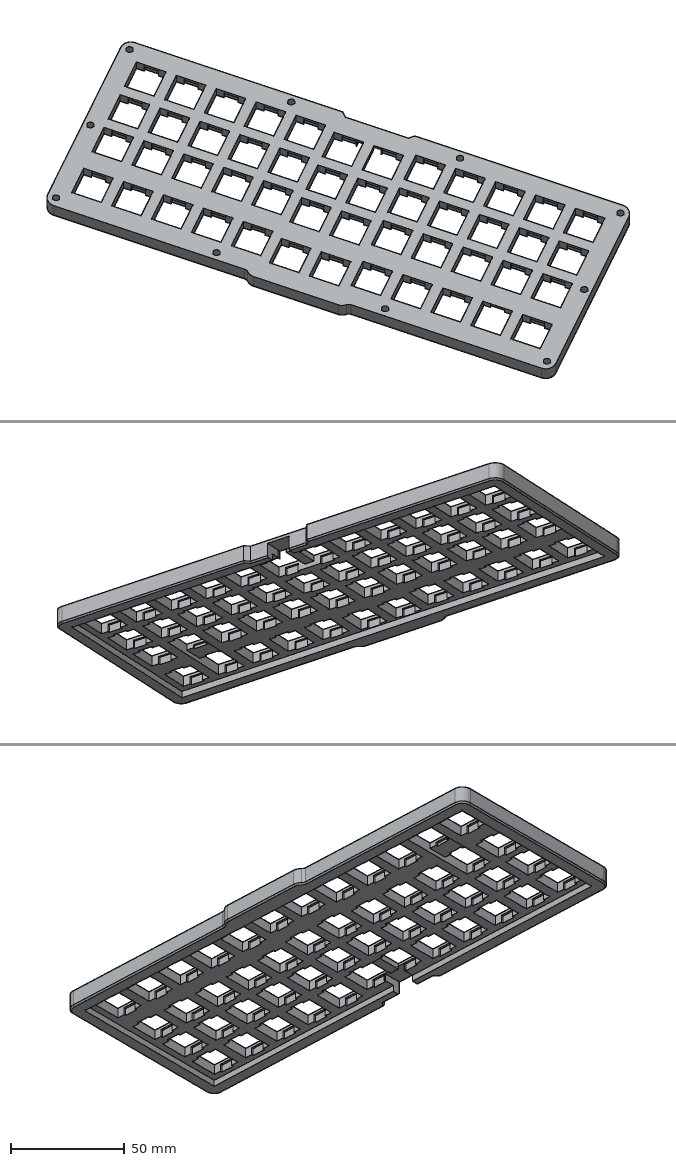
import cadquery as cq
import math

length = 242.5
depth = 97.3
height = 8.2
corner_radius = 4.9
bottom_chamfer = 0.7

centre_shift = 2.2
back_y = depth / 2
front_y = -depth / 2 + centre_shift

recess_half_width = 17.2

bulge_flat_half = 20.1
bulge_turn = math.radians(45)
bulge_outer_radius = corner_radius

key_size = 14.0
column_count = 12
key_span = 209.5
key_pitch = key_span / (column_count - 1)
centre_columns = (5, 6)
back_margin = 9.5
back_row_y = back_y - back_margin - key_size / 2
front_row_gap = key_pitch + key_pitch / 4
row_heights = [back_row_y - row * key_pitch for row in range(3)]
row_heights.append(row_heights[-1] - front_row_gap)

clip_width = 6.8
clip_reach = 1.0
clip_lip = 1.5

web_thickness = 5.0
rim_width = 6.0

port_width = 11.6
relief_web_thickness = 3.0
relief_key_column = 10

screw_diameter = 3.2
screw_depth = 5.8
mid_y = (back_y + front_y) / 2
corner_screw_x, corner_screw_dy = 117.2, 43.2
edge_screw_x, edge_screw_dy = 40.3, 44.0
end_screw_x, end_screw_y = 118.0, 0.0


def plate_outline():
    """Closed outline with square outer corners, a back recess and a front bulge."""
    outer_run = bulge_outer_radius * math.sin(bulge_turn)
    outer_rise = bulge_outer_radius * (1 - math.cos(bulge_turn))
    inner_radius = (centre_shift - outer_rise) / (1 - math.cos(bulge_turn))
    inner_run = inner_radius * math.sin(bulge_turn)

    bulge_y = front_y - centre_shift
    blend_x = bulge_flat_half + outer_run
    blend_y = bulge_y + outer_rise
    bulge_end_x = blend_x + inner_run
    half_turn = bulge_turn / 2
    outer_mid_x = bulge_flat_half + bulge_outer_radius * math.sin(half_turn)
    outer_mid_y = bulge_y + bulge_outer_radius * (1 - math.cos(half_turn))
    inner_mid_x = bulge_end_x - inner_radius * math.sin(half_turn)
    inner_mid_y = front_y - inner_radius * (1 - math.cos(half_turn))

    recess_floor_half = recess_half_width - centre_shift
    recess_y = back_y - centre_shift
    half_length = length / 2
    return (
        cq.Workplane("XY")
        .moveTo(-half_length, front_y)
        .lineTo(-bulge_end_x, front_y)
        .threePointArc((-inner_mid_x, inner_mid_y), (-blend_x, blend_y))
        .threePointArc((-outer_mid_x, outer_mid_y), (-bulge_flat_half, bulge_y))
        .lineTo(bulge_flat_half, bulge_y)
        .threePointArc((outer_mid_x, outer_mid_y), (blend_x, blend_y))
        .threePointArc((inner_mid_x, inner_mid_y), (bulge_end_x, front_y))
        .lineTo(half_length, front_y)
        .lineTo(half_length, back_y)
        .lineTo(recess_half_width, back_y)
        .lineTo(recess_floor_half, recess_y)
        .lineTo(-recess_floor_half, recess_y)
        .lineTo(-recess_half_width, back_y)
        .lineTo(-half_length, back_y)
        .close()
    )


def plate_body():
    """Solid plate with rounded outer corners and a chamfered lower edge."""
    body = plate_outline().extrude(height)
    body = body.faces("<X or >X").edges("|Z").fillet(corner_radius)
    return body.faces("<Z").chamfer(bottom_chamfer)


def column_x(column):
    return column * key_pitch - key_span / 2


def key_centres():
    centres = []
    for column in range(column_count):
        x = column_x(column)
        shift = centre_shift if column in centre_columns else 0
        for y in row_heights:
            centres.append((x, y - shift))
    return centres


def key_openings():
    """Square through openings, widened below the top lip by the clip notches."""
    centres = key_centres()
    openings = cq.Workplane("XY").pushPoints(centres).rect(key_size, key_size).extrude(height)
    clips = (
        cq.Workplane("XY")
        .pushPoints(centres)
        .rect(clip_width, key_size + 2 * clip_reach)
        .extrude(height - clip_lip)
    )
    return openings.union(clips)


def underside_cavity():
    """Open cavity below the key webs, leaving a rim around the plate."""
    return (
        cq.Workplane("XY")
        .center(0, mid_y)
        .rect(length - 2 * rim_width, back_y - front_y - 2 * rim_width)
        .extrude(height - web_thickness)
    )


def box_between(x_min, x_max, y_min, y_max, top_z):
    """Box standing on the underside plane."""
    size_x, size_y = x_max - x_min, y_max - y_min
    return cq.Workplane("XY").box(size_x, size_y, top_z, centered=False).translate((x_min, y_min, 0))


def port_relief():
    """Cable port through the back rim and the thinned web between the two centre keys."""
    key_front = row_heights[0] - centre_shift - key_size / 2
    key_back = key_front + key_size
    half_web = (key_pitch - key_size) / 2
    port = box_between(-port_width / 2, port_width / 2, key_back, back_y, height - clip_lip)
    web = box_between(-half_web, half_web, key_front, key_back, height - relief_web_thickness)
    return port.union(web)


def front_row_relief():
    """Thinned web behind one key of the front row, reaching the key opening behind it."""
    x = column_x(relief_key_column)
    y_min = row_heights[3] + key_size / 2
    y_max = row_heights[2] - key_size / 2
    top_z = height - relief_web_thickness
    return box_between(x - key_size / 2, x + key_size / 2, y_min, y_max, top_z)


def screw_holes():
    points = []
    for side in (-1, 1):
        points.append((side * end_screw_x, end_screw_y))
        for end in (-1, 1):
            points.append((side * corner_screw_x, mid_y + end * corner_screw_dy))
            points.append((side * edge_screw_x, mid_y + end * edge_screw_dy))
    return (
        cq.Workplane("XY")
        .workplane(offset=height - screw_depth)
        .pushPoints(points)
        .circle(screw_diameter / 2)
        .extrude(screw_depth)
    )


result = (
    plate_body()
    .cut(key_openings())
    .cut(underside_cavity())
    .cut(port_relief())
    .cut(front_row_relief())
    .cut(screw_holes())
)